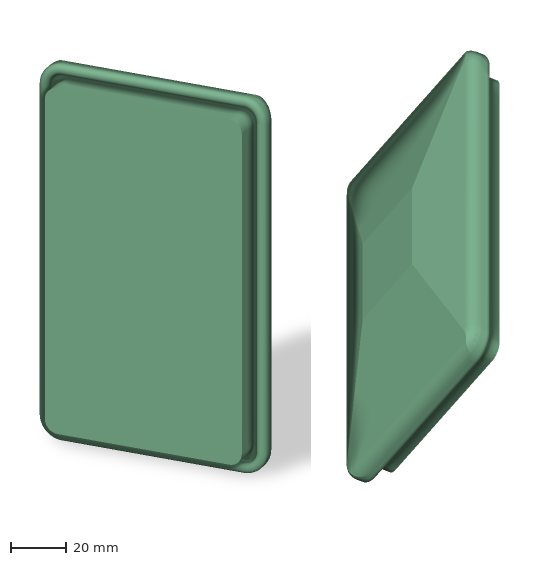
import cadquery as cq

width = 91.0
length = 148.0
corner_radius = 9.0

wall_depth = 8.0
crown_depth = 17.0
crown_width = 35.1
crown_length = 37.0
back_edge_radius = 5.0

plug_height = 7.0
plug_inset = 6.0
plug_corner_radius = 5.0

bead_width = 4.0
bead_nose_flat = 0.03
bead_radius = (bead_width - bead_nose_flat) / 2
groove_fillet = 0.96
groove_depth = bead_width / 2 + groove_fillet


def rounded_block(inset, radius, front, back):
    """Rounded rectangle, inset from the cover outline, filling Y = front to back."""
    return (
        cq.Workplane("XZ", origin=(0, front, 0))
        .rect(width - 2 * inset, length - 2 * inset)
        .extrude(front - back)
        .edges("|Y")
        .fillet(radius)
    )


def side_sloped_block(side):
    """Cover outline under one slope rising from the -X (-1) or +X (1) side, back edge rounded."""
    rise = 2 * (crown_depth - wall_depth) / (width - crown_width)
    far_depth = wall_depth + rise * width
    wedge = (
        cq.Workplane("XY")
        .polyline(
            [
                (side * width / 2, 0),
                (side * width / 2, wall_depth),
                (-side * width / 2, far_depth),
                (-side * width / 2, 0),
            ]
        )
        .close()
        .extrude(length / 2, both=True)
    )
    block = rounded_block(0, corner_radius, 0, far_depth).intersect(wedge)
    slope_middle = (0, (wall_depth + far_depth) / 2, 0)
    slope = block.faces(cq.selectors.NearestToPointSelector(slope_middle))
    return slope.edges().fillet(back_edge_radius)


def end_sloped_block():
    """Full-width bar with a flat crown and slopes falling to rounded +Z and -Z edges."""
    bar = (
        cq.Workplane("YZ")
        .polyline(
            [
                (0, -length / 2),
                (wall_depth, -length / 2),
                (crown_depth, -crown_length / 2),
                (crown_depth, crown_length / 2),
                (wall_depth, length / 2),
                (0, length / 2),
            ]
        )
        .close()
        .extrude(width / 2, both=True)
    )
    return bar.faces(">Z or <Z").edges(">Y").fillet(back_edge_radius)


def make_groove():
    """Recess inside the bead, with a rounded foot."""
    recess = rounded_block(bead_width, corner_radius - bead_width, 0, groove_depth)
    return recess.faces(">Y").edges().fillet(groove_fillet)


cover = end_sloped_block()
for side in (-1, 1):
    cover = cover.intersect(side_sloped_block(side))

cover = cover.cut(make_groove())
cover = cover.faces("<Y").edges().fillet(bead_radius)

plug = rounded_block(plug_inset, plug_corner_radius, -plug_height, groove_depth)
result = cover.union(plug)